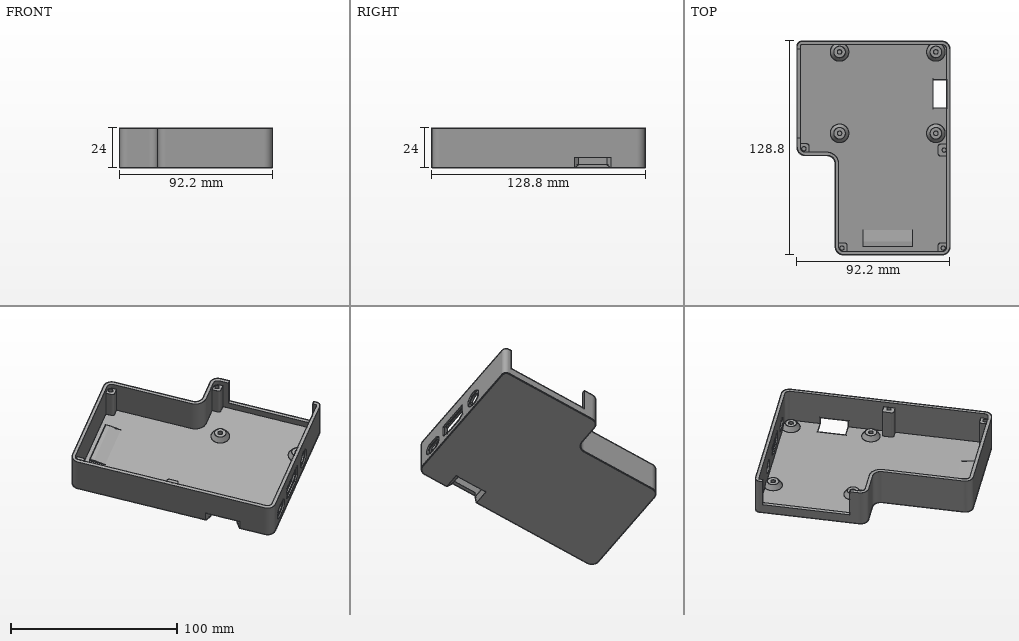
import cadquery as cq

LENGTH_X = 92.23
LENGTH_Y = 128.8
HEIGHT = 24.0
WALL = 2.1
FLOOR = 2.0
STEP_X = 23.0
STEP_Y = 59.8
CORNER_RADIUS = 5.0
BACK_LEFT_RADIUS = 3.0
BOTTOM_CHAMFER = 0.4
INNER_RIGHT = LENGTH_X - WALL
INNER_BACK = LENGTH_Y - WALL

BOARD_HOLES_X = 58.0
BOARD_HOLES_Y = 49.0
STANDOFF_X = 25.65
STANDOFF_Y = 73.25
STANDOFF_HEIGHT = 3.0
STANDOFF_BASE_DIAMETER = 11.2
STANDOFF_TOP_DIAMETER = 7.0
STANDOFF_HOLE_DIAMETER = 2.75
BOARD_THICKNESS = 1.4
BOARD_TOP = FLOOR + STANDOFF_HEIGHT + BOARD_THICKNESS

POST_SIZE = 5.1
POST_RADIUS = 1.4
POST_TOP = 20.5
POST_HOLE_DIAMETER = 2.6
POST_HOLE_DEPTH = 10.0
POST_HOLE_INSET = 2.05
SIDE_POST_Y = 59.6
SIDE_POST_LENGTH = 7.1
SIDE_POST_HOLE_INSET = 1.45

LIP = 1.1
RECESS_MARGIN = 1.6
AUDIO_X = 33.6
AUDIO_Z = 9.4
AUDIO_DIAMETER = 8.24
HDMI_X = 55.3
HDMI_Z = 9.8
HDMI_WIDTH = 17.0
HDMI_HEIGHT = 7.6
HDMI_SLANT_X = 3.6
HDMI_SLANT_Z = 2.1
POWER_X = 76.5
POWER_Z = 8.6
POWER_WIDTH = 9.7
POWER_HEIGHT = 5.6
POWER_RADIUS = 2.3

WINDOW_Y_MIN = 70.5
WINDOW_Y_MAX = 124.0

CARD_X = 82.0
CARD_Y = 97.0
CARD_WIDTH = 17.0
CARD_FLARE = 2.4

RAMP_X = 39.7
RAMP_WIDTH = 30.0
RAMP_Y = 5.0
RAMP_FLAT = 3.0
RAMP_LENGTH = 10.0
RAMP_HEIGHT = 1.25


def tray_block(inset, z, height):
    """Solid L-shaped block with rounded corners, inset from the outer walls."""
    left = inset
    right = LENGTH_X - inset
    front = inset
    back = LENGTH_Y - inset
    step_x = STEP_X + inset
    step_y = STEP_Y + inset
    corners = [
        (step_x, front, CORNER_RADIUS - inset),
        (right, front, CORNER_RADIUS - inset),
        (right, back, CORNER_RADIUS - inset),
        (left, back, BACK_LEFT_RADIUS - inset),
        (left, step_y, CORNER_RADIUS - inset),
        (step_x, step_y, CORNER_RADIUS + inset),
    ]
    outline = [(x, y) for x, y, radius in corners]
    block = cq.Workplane("XY").workplane(offset=z).polyline(outline).close().extrude(height)
    for x, y, radius in corners:
        corner_edge = cq.selectors.NearestToPointSelector((x, y, z + height / 2))
        block = block.edges("|Z").edges(corner_edge).fillet(radius)
    return block


def box(x_min, x_max, y_min, y_max, z_min, z_max):
    """Box given by its limits along each axis."""
    size = (x_max - x_min, y_max - y_min, z_max - z_min)
    return cq.Workplane("XY").box(*size, centered=False).translate((x_min, y_min, z_min))


def standoff(x, y):
    """Conical standoff with a screw hole down to the floor."""
    cone = (
        cq.Workplane("XY", origin=(x, y, FLOOR))
        .circle(STANDOFF_BASE_DIAMETER / 2)
        .workplane(offset=STANDOFF_HEIGHT)
        .circle(STANDOFF_TOP_DIAMETER / 2)
        .loft()
    )
    return cone.faces(">Z").workplane().hole(STANDOFF_HOLE_DIAMETER, STANDOFF_HEIGHT)


def post(x_limits, y_limits, free_edges, hole_x, hole_y):
    """Lid screw post, its free vertical edges rounded, with a blind hole from the top."""
    body = box(*x_limits, *y_limits, FLOOR, POST_TOP)
    body = body.edges("|Z").edges(free_edges).fillet(POST_RADIUS)
    hole = (
        cq.Workplane("XY", origin=(hole_x, hole_y, POST_TOP))
        .circle(POST_HOLE_DIAMETER / 2)
        .extrude(-POST_HOLE_DEPTH)
    )
    return body.cut(hole)


def lid_posts():
    """Three posts in the inner corners and one on the right wall."""
    posts = []
    for outer_x, outer_y in [(0, STEP_Y), (STEP_X, 0)]:
        inner_x = outer_x + WALL
        inner_y = outer_y + WALL
        left_corner_post = post(
            (outer_x, inner_x + POST_SIZE),
            (outer_y, inner_y + POST_SIZE),
            ">X and >Y",
            inner_x + POST_HOLE_INSET,
            inner_y + POST_HOLE_INSET,
        )
        posts.append(left_corner_post)
    right_limits = (INNER_RIGHT - POST_SIZE, LENGTH_X)
    right_corner_post = post(
        right_limits,
        (0, WALL + POST_SIZE),
        "<X and >Y",
        INNER_RIGHT - POST_HOLE_INSET,
        WALL + POST_HOLE_INSET,
    )
    side_post = post(
        right_limits,
        (SIDE_POST_Y, SIDE_POST_Y + SIDE_POST_LENGTH),
        "<X",
        INNER_RIGHT - SIDE_POST_HOLE_INSET,
        SIDE_POST_Y + SIDE_POST_LENGTH / 2,
    )
    return posts + [right_corner_post, side_post]


def back_sketch(x, y, z):
    """Workplane parallel to the back wall; a negative extrusion goes outward, toward +Y."""
    return cq.Workplane("XZ", origin=(x, y, z))


def audio_cutter(y, depth, margin):
    """Round plug opening."""
    return back_sketch(AUDIO_X, y, AUDIO_Z).circle(AUDIO_DIAMETER / 2 + margin).extrude(-depth)


def hdmi_cutter(y, depth, margin):
    """Rectangle with its two lower corners slanted."""
    half_width = HDMI_WIDTH / 2 + margin
    half_height = HDMI_HEIGHT / 2 + margin
    outline = [
        (-half_width, half_height),
        (half_width, half_height),
        (half_width, HDMI_SLANT_Z - half_height),
        (half_width - HDMI_SLANT_X, -half_height),
        (HDMI_SLANT_X - half_width, -half_height),
        (-half_width, HDMI_SLANT_Z - half_height),
    ]
    return back_sketch(HDMI_X, y, HDMI_Z).polyline(outline).close().extrude(-depth)


def power_cutter(y, depth, margin):
    """Rounded rectangle."""
    block = (
        back_sketch(POWER_X, y, POWER_Z)
        .rect(POWER_WIDTH + 2 * margin, POWER_HEIGHT + 2 * margin)
        .extrude(-depth)
    )
    return block.edges("|Y").fillet(POWER_RADIUS + margin)


def cut_connectors(body):
    """Cut each connector opening through the wall and its recess from outside."""
    for cutter in (audio_cutter, hdmi_cutter, power_cutter):
        body = body.cut(cutter(INNER_BACK, WALL, 0))
        body = body.cut(cutter(INNER_BACK + LIP, WALL - LIP, RECESS_MARGIN))
    return body


def cut_card_opening(body):
    """Cut the card opening through the wall and the floor, both cuts flaring outward."""
    half_inner = CARD_WIDTH / 2
    half_outer = half_inner + CARD_FLARE
    wall_cut = (
        cq.Workplane("XY")
        .polyline([
            (INNER_RIGHT, CARD_Y - half_inner),
            (LENGTH_X, CARD_Y - half_outer),
            (LENGTH_X, CARD_Y + half_outer),
            (INNER_RIGHT, CARD_Y + half_inner),
        ])
        .close()
        .extrude(BOARD_TOP)
    )
    floor_cut = (
        cq.Workplane("YZ", origin=(CARD_X, 0, 0))
        .polyline([
            (CARD_Y - half_outer, 0),
            (CARD_Y + half_outer, 0),
            (CARD_Y + half_inner, FLOOR),
            (CARD_Y - half_inner, FLOOR),
        ])
        .close()
        .extrude(LENGTH_X - CARD_X)
    )
    return body.cut(wall_cut).cut(floor_cut)


def ramp():
    """Flat-topped ramp sloping down to the floor toward +Y."""
    top = FLOOR + RAMP_HEIGHT
    profile = [
        (RAMP_Y, FLOOR),
        (RAMP_Y + RAMP_LENGTH, FLOOR),
        (RAMP_Y + RAMP_FLAT, top),
        (RAMP_Y, top),
    ]
    return cq.Workplane("YZ", origin=(RAMP_X, 0, 0)).polyline(profile).close().extrude(RAMP_WIDTH)


cavity = tray_block(WALL, FLOOR, HEIGHT - FLOOR)
shell = tray_block(0, 0, HEIGHT).faces("<Z").chamfer(BOTTOM_CHAMFER)
result = shell.cut(cavity)

for column in range(2):
    for row in range(2):
        cone = standoff(STANDOFF_X + column * BOARD_HOLES_X, STANDOFF_Y + row * BOARD_HOLES_Y)
        result = result.union(cone.intersect(cavity))
for lid_post in lid_posts():
    result = result.union(lid_post.intersect(cavity))
result = result.union(ramp())

result = result.cut(box(0, WALL, WINDOW_Y_MIN, WINDOW_Y_MAX, BOARD_TOP, HEIGHT))
result = cut_connectors(result)
result = cut_card_opening(result)